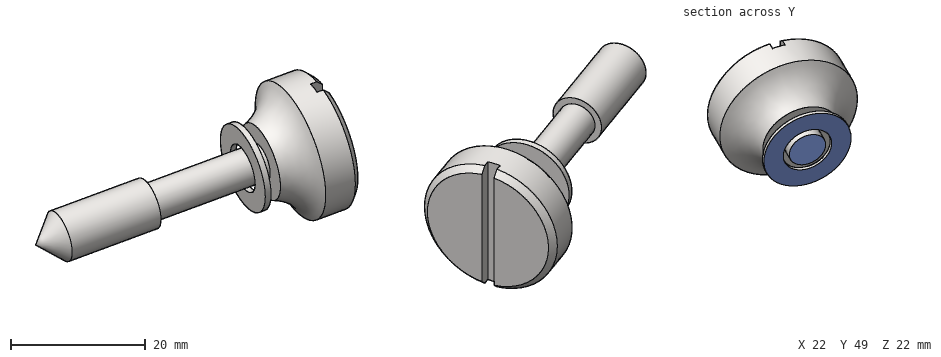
import cadquery as cq
import math


total_length = 49.0
head_radius = 11.0
head_length = 11.0
head_rim_length = 6.0
head_chamfer = 1.0
neck_radius = 6.12
flare_arc_radius = 8.0
shank_radius = 2.95
tip_radius = 4.0
tip_start = 30.0
cone_length = tip_radius
slot_width = 2.0
slot_depth = 2.0

washer_outer_radius = 7.0
washer_bore_radius = 3.8
washer_thickness = 1.0
washer_start = 13.05


def flare_midpoint():
    """Midpoint of the concave arc from the rim to the neck, bowed toward the axis."""
    radial = head_radius - neck_radius
    axial = head_length - head_rim_length
    chord = math.hypot(radial, axial)
    sag = flare_arc_radius - math.sqrt(flare_arc_radius**2 - (chord / 2)**2)
    x = (head_radius + neck_radius) / 2 - sag * axial / chord
    y = -(head_rim_length + head_length) / 2 + sag * radial / chord
    return x, y


def make_screw():
    """Turned screw with a flared head, thin shank, thick end and conical point."""
    body = (
        cq.Workplane("XY")
        .lineTo(head_radius - head_chamfer, 0)
        .lineTo(head_radius, -head_chamfer)
        .lineTo(head_radius, -head_rim_length)
        .threePointArc(flare_midpoint(), (neck_radius, -head_length))
        .lineTo(shank_radius, -head_length)
        .lineTo(shank_radius, -tip_start)
        .lineTo(tip_radius, -tip_start)
        .lineTo(tip_radius, cone_length - total_length)
        .lineTo(0, -total_length)
        .close()
        .revolve(360, (0, 0, 0), (0, 1, 0))
    )
    slot = (
        cq.Workplane("XY")
        .box(slot_width, slot_depth, 2 * head_radius, centered=(True, False, True))
        .translate((0, -slot_depth, 0))
    )
    return body.cut(slot)


def make_washer():
    """Flat ring around the shank, clear of it and of the head."""
    return (
        cq.Workplane("XZ", origin=(0, -washer_start, 0))
        .circle(washer_outer_radius)
        .circle(washer_bore_radius)
        .extrude(washer_thickness)
    )


screw = make_screw()
washer = make_washer()

result = cq.Compound.makeCompound([screw.val(), washer.val()])